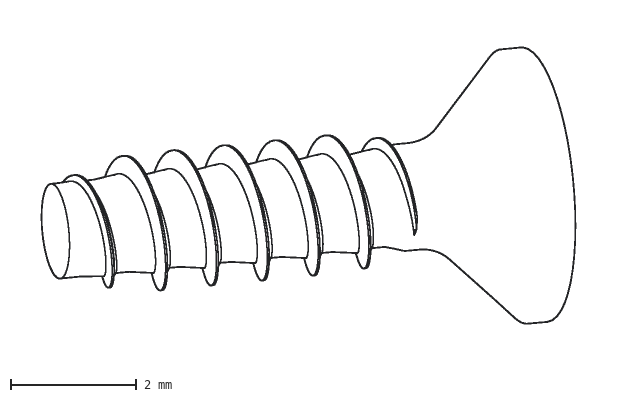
import cadquery as cq
import math

LENGTH = 8.0

HEAD_RADIUS = 2.2
RIM_HEIGHT = 0.35
RIM_ROUND = 0.03
NECK_ROUND = 0.8
CONE_HALF_ANGLE = 45.0

SHANK_RADIUS = 0.86
SHANK_END = 2.26
CORE_RADIUS = 0.76
CORE_START = 2.58
DIMPLE_RADIUS = 0.69
DIMPLE_DEPTH = 0.05

PITCH = 0.85
THREAD_START = 2.06
START_ANGLE = -90.0
RUN_IN_TURNS = 1.25
FULL_TURNS = 4.25
RUN_OUT_TURNS = 1.5
CREST_RADIUS = 1.1
CREST_HALF_WIDTH = 0.02
ROOT_RADIUS = 0.82
RUN_IN_RADIUS = 0.89
RUN_OUT_RADIUS = CORE_RADIUS
FOOT_RADIUS = 0.74
SLOPE_END = 0.62


def thread_section(foot_offset, shoulder, crest_radius, root):
    """Section points as (depth from the crest, radius), listed from the head side to the tip side."""
    return [
        (foot_offset, FOOT_RADIUS),
        shoulder,
        (-CREST_HALF_WIDTH, crest_radius),
        (CREST_HALF_WIDTH, crest_radius),
        root,
        (SLOPE_END, FOOT_RADIUS),
    ]


FULL_SECTION = thread_section(-0.17, (-0.07, 0.89), CREST_RADIUS, (0.1, ROOT_RADIUS))
RUN_IN_SECTION = thread_section(-0.08, (-0.04, 0.77), RUN_IN_RADIUS, (0.06, ROOT_RADIUS))
RUN_OUT_SECTION = thread_section(-0.06, (-0.03, 0.75), RUN_OUT_RADIUS, (0.04, 0.75))


def make_body():
    """Head, neck, shank and core as one turned solid, with a shallow conical dimple in the tip."""
    half_angle = math.radians(CONE_HALF_ANGLE)
    corner_depth = RIM_HEIGHT + (HEAD_RADIUS - SHANK_RADIUS) / math.tan(half_angle)
    neck_end = corner_depth + NECK_ROUND * math.tan(half_angle / 2)

    def neck_point(angle):
        """Point of the neck round, at an angle back from where it meets the shank."""
        radius = SHANK_RADIUS + NECK_ROUND * (1 - math.cos(angle))
        return radius, neck_end - NECK_ROUND * math.sin(angle)

    outline = (
        cq.Workplane("XZ")
        .lineTo(HEAD_RADIUS, 0)
        .lineTo(HEAD_RADIUS, RIM_HEIGHT)
        .lineTo(*neck_point(half_angle))
        .threePointArc(neck_point(half_angle / 2), neck_point(0))
        .lineTo(SHANK_RADIUS, SHANK_END)
        .lineTo(CORE_RADIUS, CORE_START)
        .lineTo(CORE_RADIUS, LENGTH)
        .lineTo(DIMPLE_RADIUS, LENGTH)
        .lineTo(0, LENGTH - DIMPLE_DEPTH)
        .close()
    )
    body = outline.revolve(360, (0, 0, 0), (0, 1, 0))
    rim_edges = cq.selectors.RadiusNthSelector(-1)
    return body.edges("%CIRCLE").edges(rim_edges).fillet(RIM_ROUND)


def crest_depth(turn):
    """Depth of the crest after a number of turns from the start of the helix."""
    return THREAD_START + PITCH * turn


def helix(start, end, start_turn, end_turn):
    """Helical edge between two (depth from the crest, radius) points of neighbouring sections."""
    turns = end_turn - start_turn
    start_depth = crest_depth(start_turn) + start[0]
    rise = crest_depth(end_turn) + end[0] - start_depth
    growth = end[1] - start[1]
    slant = math.hypot(rise, growth)
    cone_angle = math.degrees(math.atan2(growth, rise)) if growth else 360
    wire = cq.Wire.makeHelix(slant / turns, slant, start[1], angle=cone_angle)
    wire = wire.rotate(cq.Vector(), cq.Vector(0, 0, 1), START_ANGLE + 360 * start_turn)
    return wire.translate(cq.Vector(0, 0, start_depth)).Edges()[0]


def ridge_faces(start_section, end_section, start_turn, end_turn):
    """Helical faces of the thread ridge, changing evenly from one section to the other."""
    edges = [helix(a, b, start_turn, end_turn) for a, b in zip(start_section, end_section)]
    return [cq.Face.makeRuledSurface(a, b) for a, b in zip(edges, edges[1:] + edges[:1])]


def end_face(section, turn):
    """Flat face closing the ridge at one of its ends."""
    angle = math.radians(START_ANGLE + 360 * turn)
    points = [
        cq.Vector(radius * math.cos(angle), radius * math.sin(angle), crest_depth(turn) + offset)
        for offset, radius in section
    ]
    return cq.Face.makeFromWires(cq.Wire.makePolygon(points, close=True))


def make_thread():
    """Ridge with run-in and run-out, kept between the end of the shank and the tip."""
    full_start = RUN_IN_TURNS
    full_end = full_start + FULL_TURNS
    thread_end = full_end + RUN_OUT_TURNS
    faces = [end_face(RUN_IN_SECTION, 0), end_face(RUN_OUT_SECTION, thread_end)]
    faces += ridge_faces(RUN_IN_SECTION, FULL_SECTION, 0, full_start)
    faces += ridge_faces(FULL_SECTION, FULL_SECTION, full_start, full_end)
    faces += ridge_faces(FULL_SECTION, RUN_OUT_SECTION, full_end, thread_end)
    ridge = cq.Workplane(cq.Solid.makeSolid(cq.Shell.makeShell(faces)).fix())
    sleeve = cq.Workplane("XY", origin=(0, 0, SHANK_END)).circle(HEAD_RADIUS).extrude(LENGTH - SHANK_END)
    dimple = cq.Workplane(
        cq.Solid.makeCone(DIMPLE_RADIUS, 0, DIMPLE_DEPTH, cq.Vector(0, 0, LENGTH), cq.Vector(0, 0, -1))
    )
    return ridge.intersect(sleeve.cut(dimple))


screw = make_body().union(make_thread())
result = screw.rotate((0, 0, 0), (1, 0, 0), 90)